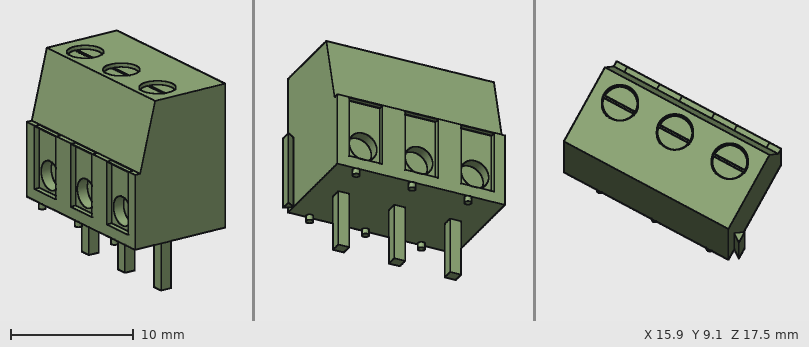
import cadquery as cq


POLES = 3
PITCH = 5.08
POLE_SHIFT = 0.05

WIDTH = POLES * PITCH
DEPTH = 9.0
HEIGHT = 12.5
TOP_DEPTH = 7.0
SHELF_HEIGHT = 6.5
SHELF_DEPTH = 0.5
FRONT_Y = -DEPTH / 2
BACK_Y = DEPTH / 2
LEFT_X = -WIDTH / 2

WINDOW_WIDTH = 3.0
WINDOW_DEPTH = 0.5
WINDOW_BOTTOM = 1.0
WINDOW_LIP = 0.05
WIRE_HOLE_DIAMETER = 2.5
WIRE_HOLE_DEPTH = 1.0
WIRE_HOLE_Z = 2.5

SCREW_Y = -0.5
SCREW_WELL_DIAMETER = 3.0
SCREW_HEAD_DIAMETER = 2.8
SCREW_HEAD_SINK = 0.3
SCREW_SLOT_WIDTH = 0.2
SCREW_SLOT_DEPTH = 0.2
SCREW_SLOT_Y = SCREW_Y + SCREW_SLOT_WIDTH / 2

PIN_SIZE = 1.0
PIN_LENGTH = 5.0
FOOT_DIAMETER = 0.6
FOOT_HEIGHT = 0.5
FOOT_OFFSET_X = -0.75
FOOT_OVERHANG = 0.05

RIB_WIDTH = 1.0
RIB_PROJECTION = 0.7
RIB_ROOT = 0.03
RIB_Y = BACK_Y - 1.0


def make_housing():
    """Housing with a sloped upper front above a narrow shelf."""
    profile = [
        (FRONT_Y, 0),
        (BACK_Y, 0),
        (BACK_Y, HEIGHT),
        (BACK_Y - TOP_DEPTH, HEIGHT),
        (FRONT_Y + SHELF_DEPTH, SHELF_HEIGHT),
        (FRONT_Y, SHELF_HEIGHT),
    ]
    return cq.Workplane("YZ").workplane(offset=LEFT_X).polyline(profile).close().extrude(WIDTH)


def make_rib():
    """Triangular rib that widens away from the housing."""
    outer_x = LEFT_X - RIB_PROJECTION
    section = [
        (LEFT_X + RIB_ROOT, RIB_Y),
        (outer_x, RIB_Y + RIB_WIDTH / 2),
        (outer_x, RIB_Y - RIB_WIDTH / 2),
    ]
    return cq.Workplane("XY").polyline(section).close().extrude(SHELF_HEIGHT)


def make_wire_entry(x):
    """Cutter: rectangular window with a blind round hole in its floor."""
    window_height = SHELF_HEIGHT - WINDOW_LIP - WINDOW_BOTTOM
    window = cq.Workplane("XY").box(
        WINDOW_WIDTH, WINDOW_DEPTH, window_height, centered=(True, False, False)
    )
    window = window.translate((x, FRONT_Y, WINDOW_BOTTOM))
    hole = (
        cq.Workplane("XZ", origin=(x, FRONT_Y, WIRE_HOLE_Z))
        .circle(WIRE_HOLE_DIAMETER / 2)
        .extrude(-(WINDOW_DEPTH + WIRE_HOLE_DEPTH))
    )
    return window.union(hole)


def make_screw_well(x):
    """Cutter: round well that leaves a slotted screw head standing inside."""
    floor_z = HEIGHT - SCREW_HEAD_SINK - SCREW_SLOT_DEPTH
    well_plane = cq.Workplane("XY", origin=(x, SCREW_Y, floor_z))
    well = well_plane.circle(SCREW_WELL_DIAMETER / 2).extrude(HEIGHT - floor_z)
    head = well_plane.circle(SCREW_HEAD_DIAMETER / 2).extrude(SCREW_SLOT_DEPTH)
    slot = cq.Workplane("XY").box(
        SCREW_WELL_DIAMETER, SCREW_SLOT_WIDTH, SCREW_SLOT_DEPTH, centered=(True, True, False)
    )
    slot = slot.translate((x, SCREW_SLOT_Y, floor_z))
    return well.cut(head.cut(slot))


def make_pin(x):
    """Square solder pin below the housing."""
    return cq.Workplane("XY").center(x, 0).rect(PIN_SIZE, PIN_SIZE).extrude(-PIN_LENGTH)


def make_feet(x):
    """Front and back standoff feet, each overhanging the housing slightly."""
    foot_y = DEPTH / 2 + FOOT_OVERHANG - FOOT_DIAMETER / 2
    foot_x = x + FOOT_OFFSET_X
    return (
        cq.Workplane("XY")
        .pushPoints([(foot_x, -foot_y), (foot_x, foot_y)])
        .circle(FOOT_DIAMETER / 2)
        .extrude(-FOOT_HEIGHT)
    )


result = make_housing().union(make_rib())
for pole in range(POLES):
    pole_x = (pole - (POLES - 1) / 2) * PITCH + POLE_SHIFT
    result = result.cut(make_wire_entry(pole_x))
    result = result.cut(make_screw_well(pole_x))
    result = result.union(make_pin(pole_x))
    result = result.union(make_feet(pole_x))